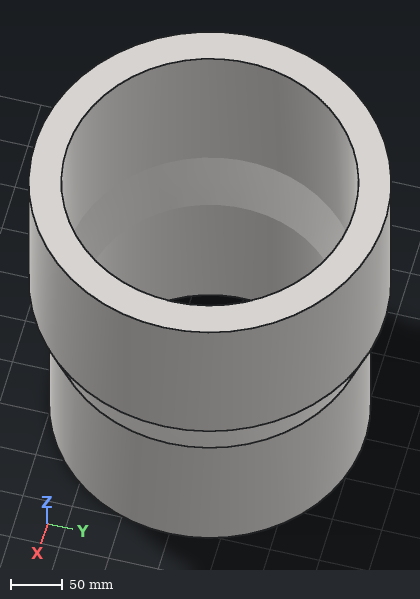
import cadquery as cq

total_length = 390.0
large_end_length = 173.0
small_end_length = 158.5

large_outer_diameter = 355.0
large_wall = 32.0
small_outer_diameter = 315.0
small_wall = 28.5

large_outer_radius = large_outer_diameter / 2
small_outer_radius = small_outer_diameter / 2
large_bore_radius = large_outer_radius - large_wall
small_bore_radius = small_outer_radius - small_wall

taper_bottom = small_end_length
taper_top = total_length - large_end_length

wall_section = (
    cq.Workplane("XZ")
    .moveTo(small_outer_radius, 0)
    .lineTo(small_outer_radius, taper_bottom)
    .lineTo(large_outer_radius, taper_top)
    .lineTo(large_outer_radius, total_length)
    .lineTo(large_bore_radius, total_length)
    .lineTo(large_bore_radius, taper_top)
    .lineTo(small_bore_radius, taper_bottom)
    .lineTo(small_bore_radius, 0)
    .close()
)

result = wall_section.revolve(360, (0, 0, 0), (0, 1, 0))